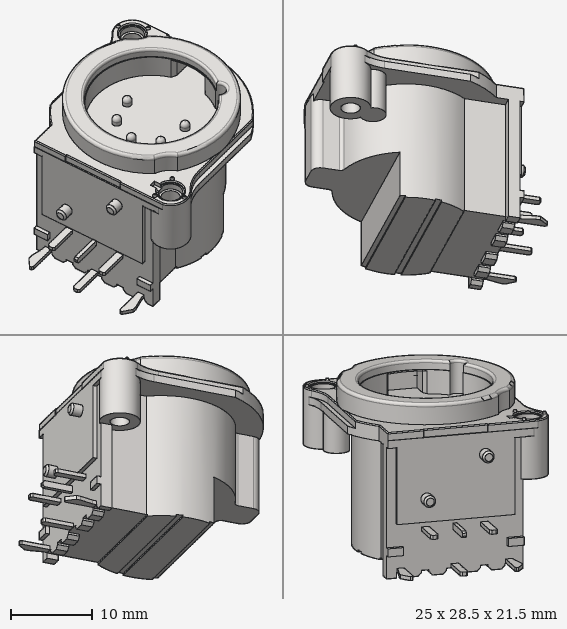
import cadquery as cq
import math

RING_TOP = 2.7
LAYER_HEIGHT = 1.0
FLANGE_BOTTOM = -2 * LAYER_HEIGHT
LUG_BOTTOM = -7.5
UPPER_BODY_BOTTOM = -11.8
BODY_BOTTOM = -18.07
PLATE_BOTTOM = -18.78
FLOOR = -1.57

FLANGE_HALF = 12.5
LUG_RADIUS = 2.5
LUG_CENTRE = FLANGE_HALF - LUG_RADIUS
TOP_HALF_WIDTH = 10.92
TOP_NECK_RADIUS = 5.47
LEDGE_HALF_WIDTH = 11.55
LEDGE_NECK_RADIUS = 5.73
TOP_FRONT_SETBACK = 0.05
BACK_RECESS_DEPTH = 0.17
BACK_RECESS_START = -6.3
FRONT_RECESS_WIDTH = 8.2
FRONT_RECESS_DEPTH = 0.2
FLANGE_CHAMFER = 0.15

HOLE_DIAMETER = 2.4
HOLE_STEPS = ((3.4, 0.28), (3.0, 1.15))
HOLE_CHAMFER = 0.15
NUB_CIRCLE = 2.15
NUB_RADIUS = 0.28
NUB_HEIGHT = 0.25
FOOT_RADIUS = 1.62
FOOT_CENTRE = (-9.3, 6.95)
SIDE_SLOT = (7.4, 9.7)
SIDE_SLOT_WIDTH = 0.85
SIDE_SLOT_DEPTH = 0.57
SIDE_SLOT_Y = -10.2

RING_RADIUS = 10.92
RING_FILLET = 0.43
SCALLOP_RADIUS = 3.62
SOCKET_RADIUS = 8.15
MOUTH_RADIUS = 8.26
MOUTH_BOTTOM = 1.5
MOUTH_FILLET = 0.35
KEY_RADIUS = 0.95
KEY_DISTANCE = 8.35
LATCH_HALF_WIDTH = 2.2
LATCH_MOUTH_HALF_WIDTH = 2.85
LATCH_MOUTH_Y = 7.12
LATCH_NECK_Y = 8.46
LATCH_BACK = 10.6
LATCH_TOP = 1.35

BODY_RADIUS = 9.12
LOWER_BODY_BACK = 3.28
REAR_BOX_HALF_WIDTH = 2.35
REAR_BOX_FILLET = 1.2
REAR_BOX_ROOT_FILLET = 0.55
NECK_START_Y = -5.3
FOOT_BANDS = ((-1.1, 2.65), (-5.2, -1.95))
FOOT_BAND_HEIGHT = 0.23
PLATE_HALF_WIDTH = 8.75
PLATE_BACK = -10.5
PLATE_FRONT = -12.0
PANEL_HALF_WIDTH = 7.55

NOTCHES = ((-6.95, 0.5), (-3.8, 0.48), (0, 1.05), (3.8, 0.48), (6.95, 0.5))
NOTCH_TOP = -18.07
NOTCH_FLARE = 0.45

PAD_WIDTH = 2.02
PAD_TOP = -14.8
PAD_HEIGHT = 1.03

PIN_DIAMETER = 1.2
PIN_HEIGHT = 1.15
PIN_POSITIONS = ((-4.25, 0.83), (-3.3, -2.68), (0, -4.25), (3.3, -2.68), (4.08, 1.37))

POST_DIAMETER = 1.5
POST_TIP_DIAMETER = 1.0
POST_END = -14.0
POST_POSITIONS = ((3.75, -3.8), (-3.75, -8.84))

CONTACT_END = 12.5 - 28.5
CONTACT_WIDTH = 0.97
CONTACT_THICKNESS = 0.5
CONTACT_CHAMFER = 0.23
UPPER_CONTACT_Z = -12.77
LOWER_CONTACT_Z = -17.78
CONTACT_PITCH = 3.8


def box(x_range, y_range, z_range):
    """Block between two values on each axis."""
    size = [high - low for low, high in (x_range, y_range, z_range)]
    corner = (x_range[0], y_range[0], z_range[0])
    return cq.Workplane("XY").box(*size, centered=False).translate(corner)


def cylinder(radius, bottom, top, centre=(0, 0)):
    """Upright cylinder between two heights."""
    return cq.Workplane("XY", origin=(*centre, bottom)).circle(radius).extrude(top - bottom)


def flange_layer(half_width, neck_radius, bottom):
    """One flange layer: a rounded plate with two lugs on one diagonal."""
    neck_x = half_width + neck_radius
    reach = LUG_RADIUS + neck_radius
    neck_y = -LUG_CENTRE + math.sqrt(reach**2 - (neck_x - LUG_CENTRE) ** 2)
    share = LUG_RADIUS / reach
    lug_end = (
        LUG_CENTRE + share * (neck_x - LUG_CENTRE),
        -LUG_CENTRE + share * (neck_y + LUG_CENTRE),
    )
    end_angle = math.atan2(lug_end[1] + LUG_CENTRE, lug_end[0] - LUG_CENTRE)
    middle_angle = (end_angle - math.pi / 2) / 2
    lug_middle = (
        LUG_CENTRE + LUG_RADIUS * math.cos(middle_angle),
        -LUG_CENTRE + LUG_RADIUS * math.sin(middle_angle),
    )
    neck_angle = (math.pi + math.atan2(lug_end[1] - neck_y, lug_end[0] - neck_x) % (2 * math.pi)) / 2
    neck_middle = (
        neck_x + neck_radius * math.cos(neck_angle),
        neck_y + neck_radius * math.sin(neck_angle),
    )
    lug_start = (LUG_CENTRE, -FLANGE_HALF)

    def opposite(point):
        return (-point[0], -point[1])

    back = FLANGE_HALF - BACK_RECESS_DEPTH
    side_angle = math.acos(half_width / FLANGE_HALF)
    back_angle = math.asin(back / FLANGE_HALF)
    plate_angle = math.acos(PLATE_HALF_WIDTH / FLANGE_HALF)

    def on_circle(angle):
        return (FLANGE_HALF * math.cos(angle), FLANGE_HALF * math.sin(angle))

    outline = (
        cq.Workplane("XY", origin=(0, 0, bottom))
        .moveTo(-PLATE_HALF_WIDTH, -FLANGE_HALF)
        .lineTo(*lug_start)
        .threePointArc(lug_middle, lug_end)
        .threePointArc(neck_middle, (half_width, neck_y))
        .lineTo(*on_circle(side_angle))
        .threePointArc(on_circle((side_angle + back_angle) / 2), on_circle(back_angle))
        .lineTo(BACK_RECESS_START, back)
        .lineTo(BACK_RECESS_START, FLANGE_HALF)
        .lineTo(*opposite(lug_start))
        .threePointArc(opposite(lug_middle), opposite(lug_end))
        .threePointArc(opposite(neck_middle), (-half_width, -neck_y))
        .lineTo(*opposite(on_circle(side_angle)))
        .threePointArc(
            opposite(on_circle((side_angle + plate_angle) / 2)), opposite(on_circle(plate_angle))
        )
        .close()
    )
    return outline.extrude(LAYER_HEIGHT)


def front_recess(width, depth):
    """Cutter that sets back the front edge of the top layer and keeps its chamfer."""
    back = -FLANGE_HALF + depth
    profile = [
        (-FLANGE_HALF, -LAYER_HEIGHT),
        (back, -LAYER_HEIGHT),
        (back, -FLANGE_CHAMFER),
        (back + FLANGE_CHAMFER, 0),
        (-FLANGE_HALF, 0),
    ]
    return cq.Workplane("YZ").polyline(profile).close().extrude(width / 2, both=True)


def flange():
    """Chamfered top layer on a wider ledge layer, with both lugs and the foot beside one lug."""
    top = flange_layer(TOP_HALF_WIDTH, TOP_NECK_RADIUS, -LAYER_HEIGHT)
    top = top.faces(">Z").chamfer(FLANGE_CHAMFER)
    top = top.cut(front_recess(2 * FLANGE_HALF, TOP_FRONT_SETBACK))
    top = top.cut(front_recess(FRONT_RECESS_WIDTH, FRONT_RECESS_DEPTH))
    body = top.union(flange_layer(LEDGE_HALF_WIDTH, LEDGE_NECK_RADIUS, FLANGE_BOTTOM))
    for side in (-1, 1):
        centre = (side * LUG_CENTRE, -side * LUG_CENTRE)
        body = body.union(cylinder(LUG_RADIUS, LUG_BOTTOM, -LAYER_HEIGHT, centre))
    return body.union(cylinder(FOOT_RADIUS, LUG_BOTTOM, FLANGE_BOTTOM, FOOT_CENTRE))


def lower_body():
    """Round housing, its latch box at the back, the neck to the front plate and the foot bands."""
    body = cylinder(BODY_RADIUS, BODY_BOTTOM, FLANGE_BOTTOM)
    body = body.cut(
        box((-BODY_RADIUS, BODY_RADIUS), (LOWER_BODY_BACK, BODY_RADIUS), (BODY_BOTTOM, UPPER_BODY_BOTTOM))
    )
    rear_box = box(
        (-REAR_BOX_HALF_WIDTH, REAR_BOX_HALF_WIDTH), (0, FLANGE_HALF), (UPPER_BODY_BOTTOM, -LAYER_HEIGHT)
    )
    body = body.union(rear_box.edges("|Z and >Y").fillet(REAR_BOX_FILLET))
    root_y = math.sqrt(BODY_RADIUS**2 - REAR_BOX_HALF_WIDTH**2)
    root_zone = cq.selectors.BoxSelector(
        (-REAR_BOX_HALF_WIDTH - 0.03, root_y - 0.03, UPPER_BODY_BOTTOM - 0.03),
        (REAR_BOX_HALF_WIDTH + 0.03, root_y + 0.03, 0),
    )
    body = body.edges("|Z").edges(root_zone).fillet(REAR_BOX_ROOT_FILLET)
    neck_half_width = math.sqrt(BODY_RADIUS**2 - NECK_START_Y**2)
    neck = box(
        (-neck_half_width, neck_half_width), (PLATE_BACK, NECK_START_Y), (BODY_BOTTOM, FLANGE_BOTTOM)
    )
    body = body.union(neck)
    band_bottom = BODY_BOTTOM - FOOT_BAND_HEIGHT
    disc = cylinder(BODY_RADIUS, band_bottom, BODY_BOTTOM)
    for band in FOOT_BANDS:
        body = body.union(disc.intersect(box((-BODY_RADIUS, BODY_RADIUS), band, (band_bottom, BODY_BOTTOM))))
    return body


def notch(centre, half_width, square_left):
    """Cutter for one notch with flared mouth; the left side can stay straight."""
    flare_top = PLATE_BOTTOM + NOTCH_FLARE
    left = centre - half_width
    right = centre + half_width
    points = [
        (left, NOTCH_TOP),
        (right, NOTCH_TOP),
        (right, flare_top),
        (right + NOTCH_FLARE, PLATE_BOTTOM),
        (left if square_left else left - NOTCH_FLARE, PLATE_BOTTOM),
    ]
    if not square_left:
        points.append((left, flare_top))
    profile = cq.Workplane("XZ", origin=(0, PLATE_BACK, 0)).polyline(points).close()
    return profile.extrude(PLATE_BACK - PLATE_FRONT)


def front_plate():
    """Notched front plate with its raised panel and two side pads."""
    plate = box((-PLATE_HALF_WIDTH, PLATE_HALF_WIDTH), (PLATE_FRONT, PLATE_BACK), (PLATE_BOTTOM, FLANGE_BOTTOM))
    for index, (centre, half_width) in enumerate(NOTCHES):
        plate = plate.cut(notch(centre, half_width, index == 0))
    plate = plate.union(
        box((-PANEL_HALF_WIDTH, PANEL_HALF_WIDTH), (-FLANGE_HALF, PLATE_BACK), (UPPER_BODY_BOTTOM, FLANGE_BOTTOM))
    )
    for left in (-PLATE_HALF_WIDTH, PLATE_HALF_WIDTH - PAD_WIDTH):
        pad = box((left, left + PAD_WIDTH), (-FLANGE_HALF, PLATE_FRONT), (PAD_TOP - PAD_HEIGHT, PAD_TOP))
        plate = plate.union(pad)
    return plate


def ring():
    """Raised ring with a scallop concentric with each lug."""
    body = cylinder(RING_RADIUS, -LAYER_HEIGHT, RING_TOP)
    for side in (-1, 1):
        body = body.cut(cylinder(SCALLOP_RADIUS, 0, RING_TOP, (side * LUG_CENTRE, -side * LUG_CENTRE)))
    return body.faces(">Z").edges().fillet(RING_FILLET)


def socket():
    """Cutter for the socket: bore, wider mouth, key groove and latch pocket."""
    key_offset = KEY_DISTANCE / math.sqrt(2)
    bore = cylinder(SOCKET_RADIUS, FLOOR, RING_TOP)
    bore = bore.union(cylinder(MOUTH_RADIUS, MOUTH_BOTTOM, RING_TOP))
    bore = bore.union(cylinder(KEY_RADIUS, FLOOR, RING_TOP, (key_offset, key_offset)))
    half_pocket = [
        (0, LATCH_MOUTH_Y),
        (LATCH_MOUTH_HALF_WIDTH, LATCH_MOUTH_Y),
        (LATCH_HALF_WIDTH, LATCH_NECK_Y),
        (LATCH_HALF_WIDTH, LATCH_BACK),
        (0, LATCH_BACK),
    ]
    pocket = cq.Workplane("XY", origin=(0, 0, FLOOR)).polyline(half_pocket).close().extrude(LATCH_TOP - FLOOR)
    return bore.union(pocket).union(pocket.mirror("YZ"))


def lug_hole():
    """Cutter for one stepped lug hole, centred on the origin."""
    cutter = cylinder(HOLE_DIAMETER / 2, LUG_BOTTOM, 0)
    for diameter, depth in HOLE_STEPS:
        cutter = cutter.union(cylinder(diameter / 2, -depth, 0))
    mouth = HOLE_STEPS[0][0] / 2
    cone = cq.Solid.makeCone(mouth, mouth + HOLE_CHAMFER, HOLE_CHAMFER, cq.Vector(0, 0, -HOLE_CHAMFER))
    return cutter.union(cq.Workplane(cone))


def nubs(start_angle):
    """Three small blunt cones around a lug hole centred on the origin."""
    group = cq.Workplane("XY")
    for step in range(3):
        angle = math.radians(start_angle + 120 * step)
        spot = cq.Vector(NUB_CIRCLE * math.cos(angle), NUB_CIRCLE * math.sin(angle), 0)
        group = group.add(cq.Solid.makeCone(NUB_RADIUS, NUB_RADIUS / 2, NUB_HEIGHT, spot))
    return group.combine()


def socket_pin(position):
    """Dome-topped pin standing on the socket floor."""
    radius = PIN_DIAMETER / 2
    pin = cylinder(radius, FLOOR - 0.28, FLOOR + PIN_HEIGHT, position)
    return pin.faces(">Z").edges().fillet(0.95 * radius)


def post(x, z):
    """Locating post pointing forwards, chamfered at the tip."""
    start = cq.Workplane("XZ", origin=(x, PLATE_BACK, z))
    pin = start.circle(POST_DIAMETER / 2).extrude(PLATE_BACK - POST_END)
    return pin.faces("<Y").chamfer((POST_DIAMETER - POST_TIP_DIAMETER) / 2)


def straight_contact(x, z, width, height):
    """Straight contact pointing forwards, chamfered across its wider direction."""
    blade = box(
        (x - width / 2, x + width / 2), (CONTACT_END, PLATE_BACK), (z - height / 2, z + height / 2)
    )
    direction = "|Z" if width > height else "|X"
    return blade.edges(f"<Y and {direction}").chamfer(CONTACT_CHAMFER)


def hooked_contact():
    """Left-hand barbed contact lying flat."""
    return (
        cq.Workplane("XY", origin=(0, 0, LOWER_CONTACT_Z - CONTACT_THICKNESS / 2))
        .polyline(
            [
                (-6.53, PLATE_BACK),
                (-6.53, -15.8),
                (-6.7, CONTACT_END),
                (-6.93, CONTACT_END),
                (-7.85, -14.88),
                (-7.85, -14.3),
                (-7.45, -12.5),
                (-7.45, PLATE_BACK),
            ]
        )
        .close()
        .extrude(CONTACT_THICKNESS)
    )


result = flange().union(lower_body()).union(front_plate()).union(ring()).cut(socket())
mouth_edge = cq.selectors.BoxSelector((-9.12, -9.12, RING_TOP - 0.03), (9.12, 9.12, RING_TOP + 0.03))
result = result.edges(mouth_edge).edges("%CIRCLE").fillet(MOUTH_FILLET)

for side, first_nub in ((-1, 60), (1, 0)):
    lug = (side * LUG_CENTRE, -side * LUG_CENTRE, 0)
    result = result.cut(lug_hole().translate(lug)).union(nubs(first_nub).translate(lug))
result = result.cut(
    box(
        SIDE_SLOT,
        (SIDE_SLOT_Y - SIDE_SLOT_WIDTH / 2, SIDE_SLOT_Y + SIDE_SLOT_WIDTH / 2),
        (-SIDE_SLOT_DEPTH, 0),
    )
)

for position in PIN_POSITIONS:
    result = result.union(socket_pin(position))
for x, z in POST_POSITIONS:
    result = result.union(post(x, z))
for x in (-CONTACT_PITCH, CONTACT_PITCH):
    result = result.union(straight_contact(x, UPPER_CONTACT_Z, CONTACT_WIDTH, CONTACT_THICKNESS))
result = result.union(straight_contact(0, UPPER_CONTACT_Z, CONTACT_THICKNESS, 0.83))
result = result.union(straight_contact(0, LOWER_CONTACT_Z, CONTACT_WIDTH, CONTACT_THICKNESS))
hook = hooked_contact()
result = result.union(hook).union(hook.mirror("YZ"))